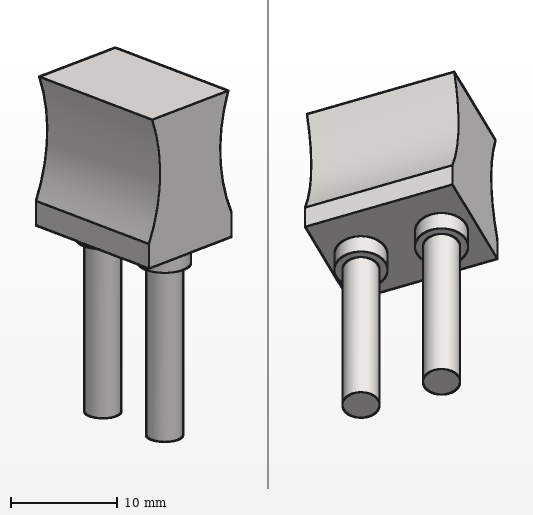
import cadquery as cq
import math

body_length = 15.0
body_base_width = 11.0
body_waist_width = 8.0
body_height = 15.0
base_band_height = 2.5
grip_radius = 16.0

pin_spacing = 8.2
pin_diameter = 3.5
pin_length = 17.5
collar_diameter = 5.0
collar_height = 2.0

half_base = body_base_width / 2
half_waist = body_waist_width / 2
arc_center_y = half_waist + grip_radius
waist_z = base_band_height + math.sqrt(grip_radius**2 - (arc_center_y - half_base) ** 2)
half_top = arc_center_y - math.sqrt(grip_radius**2 - (body_height - waist_z) ** 2)


def make_body():
    """Body with a concave finger grip on both Y sides, extruded along X."""
    profile = (
        cq.Workplane("YZ", origin=(-body_length / 2, 0, 0))
        .moveTo(-half_base, 0)
        .lineTo(half_base, 0)
        .lineTo(half_base, base_band_height)
        .threePointArc((half_waist, waist_z), (half_top, body_height))
        .lineTo(-half_top, body_height)
        .threePointArc((-half_waist, waist_z), (-half_base, base_band_height))
        .close()
    )
    return profile.extrude(body_length)


def make_pin(x):
    """Collar and longer contact pin hanging from the underside of the body."""
    underside = cq.Workplane("XY", origin=(x, 0, 0))
    collar = underside.circle(collar_diameter / 2).extrude(-collar_height)
    shank = underside.circle(pin_diameter / 2).extrude(-(collar_height + pin_length))
    return collar.union(shank)


result = make_body()
for side in (-1, 1):
    result = result.union(make_pin(side * pin_spacing / 2))